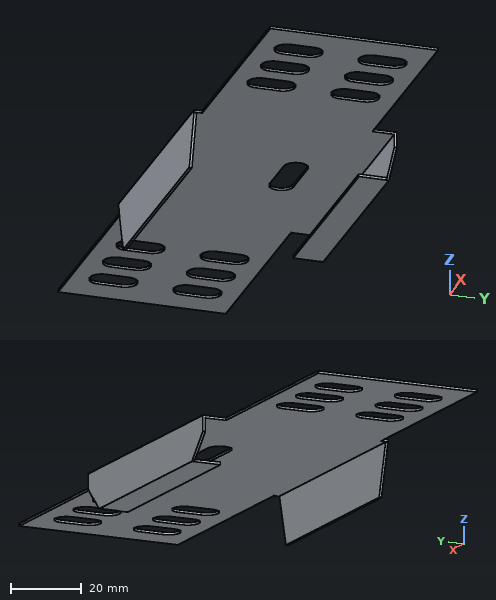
import cadquery as cq

sheet = 0.8
plate_length = 195.0
plate_width = 50.0
plate_front = -plate_width / 2
plate_back = plate_width / 2

front_shelf = 2.3
front_width = 69.8
front_tip_width = 60.8
front_height = 16.0
front_face = plate_front - front_shelf

back_shelf = 7.2
back_width = 74.9
back_height = 11.9
back_straight = 4.7
back_taper = back_height - back_straight
lip_depth = 9.0
back_face = plate_back + back_shelf
back_tip_width = back_width - 2 * back_taper

slot_width = 7.0
end_slot_length = 14.0
slot_pitch = 12.5
slot_columns = 3
row_spacing = 2 * slot_pitch
first_column = plate_length / 2 - slot_pitch
centre_slot_length = 20.0
centre_slot_from_back = 20.0


def sheet_block(width, front, back, bottom, top):
    """Block centred on X = 0, spanning the given Y and Z limits."""
    return cq.Workplane("XY").box(width, back - front, top - bottom).translate(
        (0, (front + back) / 2, (bottom + top) / 2)
    )


def flange(outline, outer_face):
    """Upright sheet whose XZ outline is extruded toward +Y from Y = outer_face."""
    return cq.Workplane("XZ", origin=(0, outer_face, 0)).polyline(outline).close().extrude(-sheet)


def make_plate():
    plate = sheet_block(plate_length, plate_front, plate_back, -sheet, 0)
    front = sheet_block(front_width, front_face, plate_front, -sheet, 0)
    back = sheet_block(back_width, plate_back, back_face, -sheet, 0)
    return plate.union(front).union(back)


def make_front_flange():
    outline = [
        (-front_width / 2, 0),
        (front_width / 2, 0),
        (front_tip_width / 2, -front_height),
        (-front_tip_width / 2, -front_height),
    ]
    return flange(outline, front_face)


def make_back_flange():
    outline = [
        (-back_width / 2, 0),
        (back_width / 2, 0),
        (back_width / 2, -back_straight),
        (back_tip_width / 2, -back_height),
        (-back_tip_width / 2, -back_height),
        (-back_width / 2, -back_straight),
    ]
    lip = sheet_block(back_tip_width, back_face - lip_depth, back_face, -back_height, sheet - back_height)
    return flange(outline, back_face - sheet).union(lip)


def make_slots():
    column_places = [first_column - i * slot_pitch for i in range(slot_columns)]
    end_places = [
        (side * x, row * row_spacing / 2)
        for side in (-1, 1)
        for row in (-1, 1)
        for x in column_places
    ]
    plane = cq.Workplane("XY")
    end_slots = plane.pushPoints(end_places).slot2D(end_slot_length, slot_width, 90).extrude(-sheet)
    centre_slot = (
        plane.center(0, back_face - centre_slot_from_back)
        .slot2D(centre_slot_length, slot_width)
        .extrude(-sheet)
    )
    return end_slots.union(centre_slot)


result = make_plate().union(make_front_flange()).union(make_back_flange()).cut(make_slots())